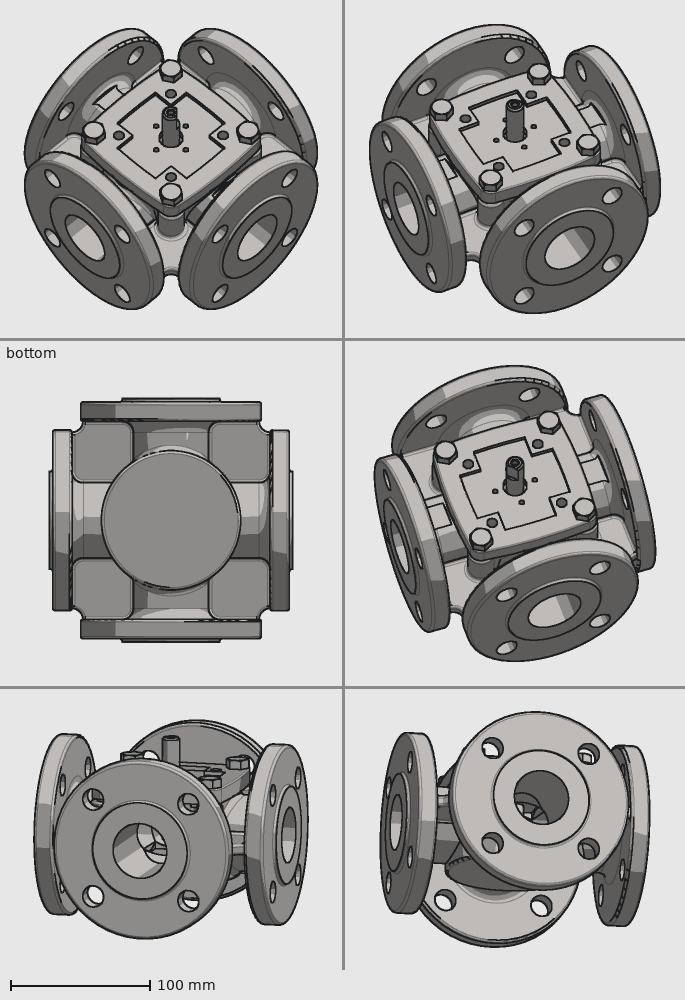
import cadquery as cq
import math

overall = 175.0
half_span = overall / 2
quarter_turns = (0, 90, 180, 270)
rounded_necks = (90, 270)

flange_radius = 65.0
flange_thickness = 14.0
flange_edge_radius = 2.0
face_height = 2.5
face_radius = 35.2
face_root_radius = 1.5
neck_radius = 27.5
neck_flare_radius = 7.9
bore_radius = 20.0
flange_hole_radius = 7.7
flange_hole_offset = 35.4
flange_front = half_span - face_height
flange_back = flange_front - flange_thickness

pad_height = 25.7
pad_start = 51.5
pad_end = 67.0

throat_start = 29.8
throat_end = 15.8
throat_rise = 16.1
throat_arch_radius = 35.0
throat_side_margin = 1.0
cavity_rise = 17.5

barrel_radius = 50.0
barrel_top = 28.7
barrel_bottom = -32.2
barrel_edge_radius = 2.0
web_half_thickness = 4.0
web_notch_radius = 7.7
casting_radius = 2.0
boss_root_radius = 2.6
boss_side_radius = 4.0
neck_root_radius = 4.0
bolt_offset = 39.2
boss_radius = 9.5
boss_top = 26.5
boss_edge_radius = 1.4

cover_top = 40.0
cover_half_width = barrel_radius
cover_corner_radius = 8.8
cover_edge_radius = 1.0
recess_depth = 3.0
recess_reach = 35.7
recess_half_width = 19.5
mount_hole_offset = 26.5
mount_hole_radius = 3.7
pin_hole_offset = 15.0
pin_hole_radius = 1.8
stem_counterbore_radius = 8.5
stem_counterbore_depth = 5.0

stem_radius = 6.1
stem_top = 67.5
stem_bottom = -6.8
stem_chamfer = 1.4
stem_flat_distance = 4.2
stem_flat_length = 14.0
stem_flat_direction = 45
center_hole_radius = 2.3
center_hole_depth = 5.2
center_hole_chamfer = 0.7
center_hole_mouth_angle = 90

head_across_flats = 14.5
head_height = 6.5
half_hexagon_side = 30
head_crown_angle = 30.0
shank_radius = 5.0
shank_bottom = 10.5

joint_margin = 1.8
tolerance = 0.02

bolt_places = [(sx * bolt_offset, sy * bolt_offset) for sx in (-1, 1) for sy in (-1, 1)]


def turned(x, y, angle):
    """The point (x, y) turned about the stem axis, angle in radians."""
    c, s = math.cos(angle), math.sin(angle)
    return (x * c - y * s, x * s + y * c)


def port(angle):
    """Neck, flange and raised face, revolved about +X and then turned about Z."""
    diagonal = math.sqrt(0.5)
    edge = flange_edge_radius
    edge_cut = edge * (1 - diagonal)
    flare_cut = neck_flare_radius * (1 - diagonal)
    root_cut = face_root_radius * (1 - diagonal)
    profile = (
        cq.Workplane("XY")
        .lineTo(0, neck_radius)
        .lineTo(flange_back - neck_flare_radius, neck_radius)
        .threePointArc(
            (flange_back - flare_cut, neck_radius + flare_cut),
            (flange_back, neck_radius + neck_flare_radius),
        )
        .lineTo(flange_back, flange_radius - edge)
        .threePointArc(
            (flange_back + edge_cut, flange_radius - edge_cut),
            (flange_back + edge, flange_radius),
        )
        .lineTo(flange_front - edge, flange_radius)
        .threePointArc(
            (flange_front - edge_cut, flange_radius - edge_cut),
            (flange_front, flange_radius - edge),
        )
        .lineTo(flange_front, face_radius + face_root_radius)
        .threePointArc(
            (flange_front + root_cut, face_radius + root_cut),
            (flange_front + face_root_radius, face_radius),
        )
        .lineTo(half_span, face_radius)
        .lineTo(half_span, 0)
        .close()
    )
    return profile.revolve(360, (0, 0, 0), (1, 0, 0)).rotate((0, 0, 0), (0, 0, 1), angle)


def barrel():
    body = cq.Workplane("XY").workplane(offset=barrel_bottom).circle(barrel_radius)
    body = body.extrude(barrel_top - barrel_bottom)
    return body.faces("<Z").edges().fillet(barrel_edge_radius)


def ports_on_barrel():
    """Four ports on the straight part of the barrel, those along Y rounded into it."""
    body = cq.Workplane("XY").circle(barrel_radius).extrude(2 * neck_radius, both=True)
    for angle in quarter_turns:
        body = body.union(port(angle))
    for angle in rounded_necks:
        joint = cq.selectors.BoxSelector(*joint_box(angle), boundingbox=True)
        body = body.edges(joint).fillet(neck_root_radius)
    straight_bottom = barrel_bottom + barrel_edge_radius
    for start, height in ((barrel_top, neck_radius * 2), (straight_bottom, -neck_radius * 2)):
        trim = cq.Workplane("XY").workplane(offset=start).circle(barrel_radius + 2 * neck_root_radius)
        body = body.cut(trim.extrude(height))
    return body


def joint_box(angle):
    """Opposite corners of a box around the edge where one neck meets the barrel."""
    turn = math.radians(angle)
    reach = neck_radius + joint_margin
    inner = (*turned(neck_radius, -reach, turn), -reach)
    outer = (*turned(barrel_radius + joint_margin, reach, turn), reach)
    return inner, outer


def web():
    """Plate that joins the flanges in all four corners, rounded where it meets them and the necks."""
    full_half = web_half_thickness + casting_radius
    plate = cq.Workplane("XY").box(2 * flange_back, 2 * flange_back, 2 * full_half)
    top_pocket = web_pocket()
    bottom_pocket = top_pocket.mirror("XY")
    notch = web_notch()
    for angle in quarter_turns:
        for cutter in (top_pocket, bottom_pocket, notch):
            plate = plate.cut(cutter.rotate((0, 0, 0), (0, 0, 1), angle))
    return plate


def web_pocket():
    """Space above the web between two necks, with a rounded floor edge."""
    wall = math.sqrt(neck_radius**2 - web_half_thickness**2)
    flare = neck_flare_radius
    flare_start = flange_back - flare
    flare_cut = flare * (1 - math.sqrt(0.5))
    outline = (
        cq.Workplane("XY")
        .workplane(offset=web_half_thickness)
        .moveTo(wall, wall)
        .lineTo(flare_start, wall)
        .threePointArc((flange_back - flare_cut, wall + flare_cut), (flange_back, wall + flare))
        .lineTo(flange_back, flange_back)
        .lineTo(wall + flare, flange_back)
        .threePointArc((wall + flare_cut, flange_back - flare_cut), (wall, flare_start))
        .close()
    )
    return outline.extrude(2 * casting_radius).faces("<Z").edges().fillet(casting_radius)


def web_notch():
    """Round notch at the outer corner of the web; its rim flares out to round the web's edges."""
    rim = web_notch_radius + casting_radius
    middle = rim - casting_radius * math.sqrt(0.5)
    straight = web_half_thickness - casting_radius
    bend = straight + casting_radius * math.sqrt(0.5)
    top = web_half_thickness + 2 * casting_radius
    profile = (
        cq.Workplane("XZ")
        .moveTo(0, -top)
        .lineTo(rim, -top)
        .lineTo(rim, -web_half_thickness)
        .threePointArc((middle, -bend), (web_notch_radius, -straight))
        .lineTo(web_notch_radius, straight)
        .threePointArc((middle, bend), (rim, web_half_thickness))
        .lineTo(rim, top)
        .lineTo(0, top)
        .close()
    )
    cutter = profile.revolve(360, (0, 0, 0), (0, 1, 0))
    return cutter.translate((flange_back, flange_back, 0))


def bosses_on_barrel():
    """Barrel up to the boss tops, with the four bolt bosses rounded into it and coved at the foot."""
    body = cq.Workplane("XY").circle(barrel_radius).extrude(boss_top)
    body = body.union(cq.Workplane("XY").pushPoints(bolt_places).circle(boss_radius).extrude(boss_top))
    joints = [edge for edge in body.edges("|Z").vals() if lies_on_barrel(edge) and not on_seam(edge)]
    body = body.newObject(joints).fillet(boss_side_radius)
    rim = boss_rim()
    foot = boss_foot()
    for x, y in bolt_places:
        body = body.cut(rim.translate((x, y, 0))).union(foot.translate((x, y, 0)))
    return body


def lies_on_barrel(edge):
    middle = edge.Center()
    return abs(math.hypot(middle.x, middle.y) - barrel_radius) < tolerance


def on_seam(edge):
    """True for the seam of the barrel, which lies in the XZ plane."""
    return abs(edge.Center().y) < tolerance


def boss_rim():
    """Ring that rounds a boss's top edge when cut away."""
    inner = boss_radius - boss_edge_radius
    bend = boss_edge_radius * math.sqrt(0.5)
    shoulder = boss_top - boss_edge_radius
    profile = (
        cq.Workplane("XZ")
        .moveTo(inner, boss_top)
        .threePointArc((inner + bend, shoulder + bend), (boss_radius, shoulder))
        .lineTo(boss_radius + boss_side_radius, shoulder)
        .lineTo(boss_radius + boss_side_radius, boss_top)
        .close()
    )
    return profile.revolve(360, (0, 0, 0), (0, 1, 0))


def boss_foot():
    foot = boss_radius + boss_root_radius
    bend = boss_root_radius * (1 - math.sqrt(0.5))
    profile = (
        cq.Workplane("XZ")
        .lineTo(foot, 0)
        .lineTo(foot, web_half_thickness)
        .threePointArc(
            (boss_radius + bend, web_half_thickness + bend),
            (boss_radius, web_half_thickness + boss_root_radius),
        )
        .lineTo(0, web_half_thickness + boss_root_radius)
        .close()
    )
    return profile.revolve(360, (0, 0, 0), (0, 1, 0))


def neck_pads():
    """Cutters that flatten the top of the necks along X."""
    length = pad_end - pad_start
    size = 2 * neck_radius
    cutter = cq.Workplane("XY").box(length, size, size, centered=(False, True, False))
    cutter = cutter.translate((pad_start, 0, pad_height))
    return cutter.union(cutter.mirror("YZ"))


def throat_section(offset, rise):
    """Outline square to X, wider than the bore, with an arched top and bottom at the given rise."""
    side = bore_radius + throat_side_margin
    spring = rise - throat_arch_radius + math.sqrt(throat_arch_radius**2 - side**2)
    return (
        cq.Workplane("YZ")
        .workplane(offset=offset)
        .moveTo(-side, spring)
        .threePointArc((0, rise), (side, spring))
        .lineTo(side, -spring)
        .threePointArc((0, -rise), (-side, -spring))
        .close()
    )


def port_passage(angle):
    """Bore of one port, flattened toward the throat beside the central cavity."""
    wide_end = throat_section(throat_start, bore_radius + throat_side_margin).val()
    narrow_end = throat_section(throat_end, throat_rise).val()
    taper = cq.Workplane(cq.Solid.makeLoft([narrow_end, wide_end], True))
    throat = cq.Workplane("YZ").workplane(offset=throat_end).circle(bore_radius)
    throat = throat.extrude(throat_start - throat_end).intersect(taper)
    bore = cq.Workplane("YZ").workplane(offset=throat_start).circle(bore_radius)
    bore = bore.extrude(half_span - throat_start)
    return throat.union(bore).rotate((0, 0, 0), (0, 0, 1), angle)


def central_cavity():
    return cq.Workplane("XY").box(2 * throat_end, 2 * throat_end, 2 * cavity_rise)


def flange_holes(angle):
    holes = (
        cq.Workplane("YZ")
        .workplane(offset=flange_back)
        .rect(2 * flange_hole_offset, 2 * flange_hole_offset, forConstruction=True)
        .vertices()
        .circle(flange_hole_radius)
        .extrude(flange_thickness)
    )
    return holes.rotate((0, 0, 0), (0, 0, 1), angle)


def make_housing():
    bossed_barrel = barrel().union(bosses_on_barrel())
    body = ports_on_barrel().union(web()).union(bossed_barrel)
    body = body.cut(neck_pads()).cut(central_cavity())
    for angle in quarter_turns:
        body = body.cut(port_passage(angle)).cut(flange_holes(angle))
    return body.cut(stem_blank()).cut(bolt_shanks())


def cover_side_drop():
    """Distance of each long side arc's centre beyond the stem axis, for arcs tangent to the corners."""
    rise = cover_half_width - cover_corner_radius
    return (2 * bolt_offset**2 - rise**2) / (2 * (rise - bolt_offset))


def make_cover():
    drop = cover_side_drop()
    lean = math.atan2(bolt_offset, bolt_offset + drop)
    tangent_near = bolt_offset + cover_corner_radius * math.sin(lean)
    tangent_far = bolt_offset + cover_corner_radius * math.cos(lean)
    corner_tip = bolt_offset + cover_corner_radius * math.sqrt(0.5)
    outline = cq.Workplane("XY").workplane(offset=barrel_top).moveTo(-tangent_near, tangent_far)
    for angle in quarter_turns:
        turn = -math.radians(angle)
        outline = (
            outline
            .threePointArc(turned(0, cover_half_width, turn), turned(tangent_near, tangent_far, turn))
            .threePointArc(turned(corner_tip, corner_tip, turn), turned(tangent_far, tangent_near, turn))
        )
    cover = outline.close().extrude(cover_top - barrel_top)
    cover = cover.faces(">Z").edges().fillet(cover_edge_radius)
    cover = cover.cut(cover_recess(drop)).cut(cover_holes())
    return cover.cut(stem_blank()).cut(bolt_shanks())


def cover_recess(drop):
    """Cross-shaped recess whose arm ends follow the curve of the cover's sides."""
    end_radius = recess_reach + drop
    end_corner = math.sqrt(end_radius**2 - recess_half_width**2) - drop
    arm = (
        cq.Workplane("XY")
        .workplane(offset=cover_top - recess_depth)
        .moveTo(-recess_half_width, -end_corner)
        .threePointArc((0, -recess_reach), (recess_half_width, -end_corner))
        .lineTo(recess_half_width, end_corner)
        .threePointArc((0, recess_reach), (-recess_half_width, end_corner))
        .close()
        .extrude(recess_depth)
    )
    return arm.union(arm.rotate((0, 0, 0), (0, 0, 1), 90))


def cover_holes():
    thickness = cover_top - barrel_top
    base = cq.Workplane("XY").workplane(offset=barrel_top)
    mount_holes = (
        base.rect(2 * mount_hole_offset, 2 * mount_hole_offset, forConstruction=True)
        .vertices()
        .circle(mount_hole_radius)
        .extrude(thickness)
    )
    pin_holes = base.polarArray(pin_hole_offset, 0, 360, 4).circle(pin_hole_radius).extrude(thickness)
    counterbore = (
        cq.Workplane("XY")
        .workplane(offset=cover_top - recess_depth - stem_counterbore_depth)
        .circle(stem_counterbore_radius)
        .extrude(stem_counterbore_depth)
    )
    return mount_holes.union(pin_holes).union(counterbore)


def stem_blank():
    blank = cq.Workplane("XY").workplane(offset=stem_bottom).circle(stem_radius)
    return blank.extrude(stem_top - stem_bottom)


def make_stem():
    stem = stem_blank().faces(">Z").chamfer(stem_chamfer)
    flat = (
        cq.Workplane("XY")
        .box(stem_radius, 2 * stem_radius, stem_flat_length, centered=(False, True, False))
        .translate((stem_flat_distance, 0, stem_top - stem_flat_length))
        .rotate((0, 0, 0), (0, 0, 1), stem_flat_direction)
    )
    stem = stem.cut(flat)
    mouth_radius = center_hole_radius + center_hole_chamfer
    return stem.faces(">Z").workplane(origin=(0, 0, stem_top)).cskHole(
        2 * center_hole_radius, 2 * mouth_radius, center_hole_mouth_angle, center_hole_depth
    )


def bolt_shanks():
    base = cq.Workplane("XY").workplane(offset=shank_bottom)
    return base.pushPoints(bolt_places).circle(shank_radius).extrude(cover_top - shank_bottom)


def make_bolt(x, y):
    crown_radius = head_across_flats / 2
    corner_radius = crown_radius / math.cos(math.radians(half_hexagon_side))
    crown_drop = (corner_radius - crown_radius) * math.tan(math.radians(head_crown_angle))
    head = (
        cq.Workplane("XY")
        .workplane(offset=cover_top)
        .polygon(6, 2 * corner_radius)
        .extrude(head_height)
        .rotate((0, 0, 0), (0, 0, 1), half_hexagon_side)
    )
    crown = (
        cq.Workplane("XZ")
        .moveTo(0, cover_top)
        .lineTo(corner_radius, cover_top)
        .lineTo(corner_radius, cover_top + head_height - crown_drop)
        .lineTo(crown_radius, cover_top + head_height)
        .lineTo(0, cover_top + head_height)
        .close()
        .revolve(360, (0, 0, 0), (0, 1, 0))
    )
    shank = cq.Workplane("XY").workplane(offset=shank_bottom).circle(shank_radius)
    shank = shank.extrude(cover_top - shank_bottom)
    return head.intersect(crown).union(shank).translate((x, y, 0))


housing = make_housing()
cover = make_cover()
stem = make_stem()
bolts = [make_bolt(x, y) for x, y in bolt_places]

result = cq.Compound.makeCompound([housing.val(), cover.val(), stem.val(), *[bolt.val() for bolt in bolts]])